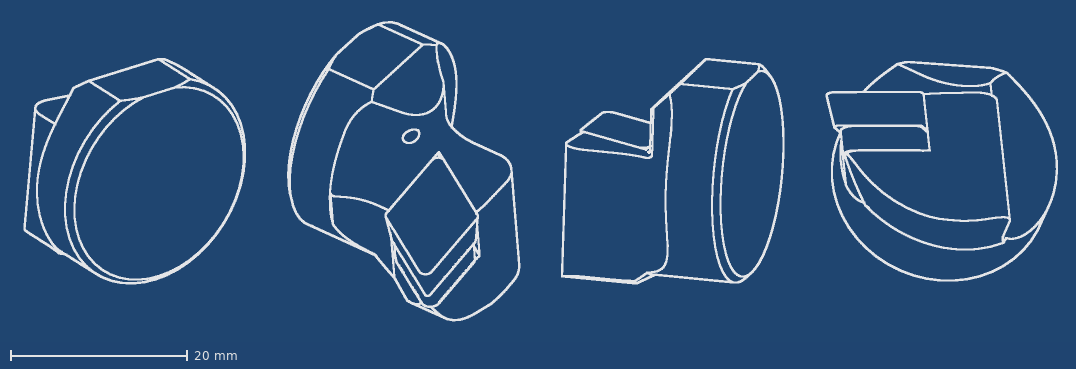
import math

import cadquery as cq

TILT = 5.8

DISC_RADIUS = 12.5
DISC_FRONT_X = -6.3
BACK_CHAMFER = 0.77
FLAT_Z = 11.53
BEVEL_START_X = -7.02

HEAD_RADIUS = 14.15
HEAD_CENTER_Y = 2.0
HEAD_CENTER_Z = -0.2
TAPER_END_X = -10.62
TAPER_SLOPE = 0.56
ENVELOPE_FRONT_X = -26.55
REACH = 20.65

FLOOR_Z = 1.65
SIDE_Y = -3.45
SIDE_FRONT_X = -18.58
SIDE_ARC_RADIUS = 8.97
SIDE_ARC_X = DISC_FRONT_X - SIDE_ARC_RADIUS
FRONT_X = -22.0
CORNER_END_Y = -0.25
FRONT_END_Y = 4.22
FRONT_ARC_END_Y = 7.5
BACK_Y = 10.53
BACK_ARC_X = -11.65
BACK_ARC_RADIUS = 9.45

BOSS_SIDE_X = -10.45
BOSS_NOSE = (-11.5, -1.33)
BOSS_ARC_END = (-10.03, 2.5)
WALL_ARC_START = (-7.75, 4.9)
WALL_ARC_END_Y = 9.1
BOSS_FILLET = 0.53
FILLET_SEARCH = 0.15

INSERT_SIDE = 11.62
NOSE_ANGLE = 55.0
NOSE_X = -23.13
NOSE_Y = 17.58
EDGE_LEAN = 3.0
INSERT_THICKNESS = 3.95
INSERT_CORNER_RADIUS = 0.8
RELIEF_ANGLE = 7.0

PAD_INSET = 0.62
PAD_CORNER_RADIUS = 1.12
PAD_THICKNESS = 2.98
HEAD_INSET = 0.75

HOLE_DIAMETER = 2.0
HOLE_X = -10.03
HOLE_Y = 1.53
HOLE_Z = 4.78
HOLE_ANGLE = 37.0
HOLE_DEPTH = 3.55

INSERT_BOTTOM_Z = FLOOR_Z - INSERT_THICKNESS
POCKET_Z = INSERT_BOTTOM_Z - PAD_THICKNESS


def rhombus_corners(inset):
    """Corners of the insert rhombus moved inwards: nose, front, inner, back."""
    edge_angle = math.radians(-90 + EDGE_LEAN)
    back_angle = edge_angle + math.radians(NOSE_ANGLE)
    edge = cq.Vector(math.cos(edge_angle), math.sin(edge_angle))
    back = cq.Vector(math.cos(back_angle), math.sin(back_angle))
    shift = inset / math.sin(math.radians(NOSE_ANGLE))
    side = INSERT_SIDE - 2 * shift
    nose = cq.Vector(NOSE_X, NOSE_Y) + (edge + back) * shift
    corners = [nose, nose + edge * side, nose + (edge + back) * side, nose + back * side]
    return [(corner.x, corner.y) for corner in corners]


def rhombus(inset, corner_radius):
    corners = rhombus_corners(inset)
    return cq.Sketch().polygon(corners + corners[:1]).vertices().fillet(corner_radius)


def tilted(body):
    return body.rotate((0, 0, 0), (1, 0, 0), -TILT)


def head_outline():
    """Plan of the head and the disc, open-ended where the envelope trims it."""
    nose, front, _, back = rhombus_corners(HEAD_INSET)
    back_slope = (back[1] - nose[1]) / (back[0] - nose[0])
    back_start_x = nose[0] + (BACK_Y - nose[1]) / back_slope
    front_slope = (front[1] - nose[1]) / (front[0] - nose[0])
    front_arc_end_x = nose[0] + (FRONT_ARC_END_Y - nose[1]) / front_slope
    back_arc_run = DISC_FRONT_X - BACK_ARC_X
    back_arc_rise = BACK_ARC_RADIUS - math.sqrt(BACK_ARC_RADIUS**2 - back_arc_run**2)
    return (
        cq.Workplane("XY")
        .moveTo(SIDE_ARC_X, SIDE_Y)
        .radiusArc((DISC_FRONT_X, SIDE_Y - SIDE_ARC_RADIUS), SIDE_ARC_RADIUS)
        .lineTo(DISC_FRONT_X, -REACH)
        .lineTo(0, -REACH)
        .lineTo(0, REACH)
        .lineTo(DISC_FRONT_X, REACH)
        .lineTo(DISC_FRONT_X, BACK_Y + back_arc_rise)
        .radiusArc((BACK_ARC_X, BACK_Y), BACK_ARC_RADIUS)
        .lineTo(back_start_x, BACK_Y)
        .lineTo(*nose)
        .lineTo(front_arc_end_x, FRONT_ARC_END_Y)
        .tangentArcPoint((FRONT_X, FRONT_END_Y), relative=False)
        .lineTo(FRONT_X, CORNER_END_Y)
        .tangentArcPoint((SIDE_FRONT_X, SIDE_Y), relative=False)
        .close()
    )


def raised_outline():
    """Plan of the part above the floor: the boss and the disc behind it."""
    drop = SIDE_ARC_RADIUS - math.sqrt(SIDE_ARC_RADIUS**2 - (BOSS_SIDE_X - SIDE_ARC_X) ** 2)
    return (
        cq.Workplane("XY")
        .workplane(offset=FLOOR_Z)
        .moveTo(DISC_FRONT_X, SIDE_Y - SIDE_ARC_RADIUS)
        .radiusArc((BOSS_SIDE_X, SIDE_Y - drop), -SIDE_ARC_RADIUS)
        .threePointArc(BOSS_NOSE, BOSS_ARC_END)
        .lineTo(*WALL_ARC_START)
        .tangentArcPoint((DISC_FRONT_X, WALL_ARC_END_Y), relative=False)
        .lineTo(DISC_FRONT_X, REACH)
        .lineTo(0, REACH)
        .lineTo(0, -REACH)
        .lineTo(DISC_FRONT_X, -REACH)
        .close()
    )


def make_block():
    lower = head_outline().extrude(FLOOR_Z).union(head_outline().extrude(-REACH))
    nose_x, nose_y = rhombus_corners(HEAD_INSET)[0]
    nose_edge = cq.selectors.NearestToPointSelector((nose_x, nose_y, -REACH / 2))
    lower = lower.edges(nose_edge).fillet(PAD_CORNER_RADIUS)
    return lower.union(raised_outline().extrude(REACH))


def make_envelope():
    """Disc cylinder joined to the off-axis head cylinder, which tapers down to it."""
    disc = cq.Workplane("YZ").circle(DISC_RADIUS).extrude(ENVELOPE_FRONT_X)
    disc = disc.faces(">X").chamfer(BACK_CHAMFER)
    head = (
        cq.Workplane("YZ")
        .center(HEAD_CENTER_Y, HEAD_CENTER_Z)
        .circle(HEAD_RADIUS)
        .extrude(ENVELOPE_FRONT_X)
    )
    taper_rise = (TAPER_END_X - ENVELOPE_FRONT_X) * TAPER_SLOPE
    taper = (
        cq.Workplane("XY")
        .moveTo(ENVELOPE_FRONT_X, 0)
        .lineTo(ENVELOPE_FRONT_X, DISC_RADIUS + taper_rise)
        .lineTo(TAPER_END_X, DISC_RADIUS)
        .lineTo(TAPER_END_X, 0)
        .close()
        .revolve(360, (0, 0, 0), (1, 0, 0))
    )
    return disc.union(head.intersect(taper))


def make_top_cutter():
    """Space above the top flat and the 45 degree bevel, which ends in front of the boss."""
    bevel_drop = FLAT_Z / 2
    return (
        cq.Workplane("XZ")
        .moveTo(0, FLAT_Z)
        .lineTo(BEVEL_START_X, FLAT_Z)
        .lineTo(BEVEL_START_X - bevel_drop, FLAT_Z - bevel_drop)
        .lineTo(ENVELOPE_FRONT_X, FLAT_Z - bevel_drop)
        .lineTo(ENVELOPE_FRONT_X, REACH)
        .lineTo(0, REACH)
        .close()
        .extrude(REACH, both=True)
    )


def make_pocket():
    """Insert pocket, deep enough for the insert and the pad below it."""
    corners = rhombus_corners(0)
    return cq.Workplane("XY").workplane(offset=POCKET_Z).polyline(corners).close().extrude(REACH)


def make_pad():
    pad_outline = rhombus(PAD_INSET, PAD_CORNER_RADIUS)
    return cq.Workplane("XY").workplane(offset=POCKET_Z).placeSketch(pad_outline).extrude(PAD_THICKNESS)


def make_coolant_hole():
    angle = math.radians(HOLE_ANGLE)
    outward = cq.Vector(-math.cos(angle), math.sin(angle), 0)
    start = cq.Vector(HOLE_X, HOLE_Y, HOLE_Z) - outward * HOLE_DEPTH
    return cq.Workplane(cq.Solid.makeCylinder(HOLE_DIAMETER / 2, 2 * HOLE_DEPTH, start, outward))


def boss_base_edges(block):
    """Edges where the boss and disc wall meet the floor."""
    low_z = FLOOR_Z - FILLET_SEARCH
    high_z = FLOOR_Z + FILLET_SEARCH
    disc_low_x = DISC_FRONT_X - FILLET_SEARCH
    disc_high_x = DISC_FRONT_X + FILLET_SEARCH
    boss = cq.selectors.BoxSelector((BOSS_NOSE[0], SIDE_Y, low_z), (disc_high_x, WALL_ARC_END_Y, high_z))
    disc = cq.selectors.BoxSelector((disc_low_x, WALL_ARC_END_Y, low_z), (disc_high_x, REACH, high_z))
    return block.edges(boss + disc)


def make_holder():
    block = make_block()
    block = boss_base_edges(block).fillet(BOSS_FILLET)
    block = block.cut(make_coolant_hole())
    block = block.cut(make_pocket())
    holder = tilted(block).intersect(make_envelope())
    holder = holder.cut(make_top_cutter())
    return holder.union(tilted(make_pad()))


def make_insert():
    relief = INSERT_THICKNESS * math.tan(math.radians(RELIEF_ANGLE))
    bottom = rhombus(relief, INSERT_CORNER_RADIUS - relief)
    top = rhombus(0, INSERT_CORNER_RADIUS).moved(cq.Location(cq.Vector(0, 0, INSERT_THICKNESS)))
    body = cq.Workplane("XY").workplane(offset=INSERT_BOTTOM_Z).placeSketch(bottom, top).loft(ruled=True)
    return tilted(body)


holder = make_holder()
insert = make_insert()
result = cq.Compound.makeCompound([holder.val(), insert.val()])